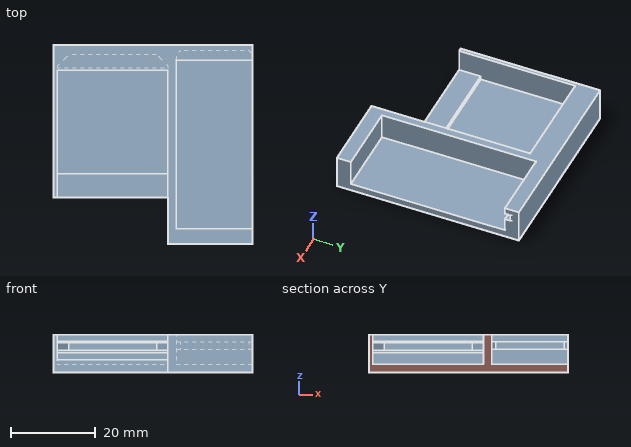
import cadquery as cq

length = 47.0
height = 9.0
step_depth = 11.0

side_wall = 1.0
middle_wall = 2.0
left_back_wall = 6.0
right_end_wall = 3.6
floor_thickness = 2.0
lip_depth = 5.6
lip_height = 3.0

left_bay_width = 26.0
left_bay_end = side_wall + left_bay_width
right_bay_start = left_bay_end + middle_wall
right_bay_width = length - right_bay_start
left_bay_back = length - left_back_wall
right_bay_back = length - right_end_wall

left_ledge_height = 5.2
left_slot_roof = 7.0
right_slot_roof = 7.25
right_ledge_height = 5.5
mouth_bottom = 4.7
mouth_top = 7.4
mouth_depth = 0.55
left_straight_depth = 1.15
right_straight_depth = 1.4
left_slot_taper = 2.65
right_slot_taper = 0.95


def block(x_start, y_start, z_start, x_end, y_end, z_end):
    """Axis-aligned block between two opposite corners."""
    size = (x_end - x_start, y_end - y_start, z_end - z_start)
    return cq.Workplane("XY").box(*size, centered=False).translate((x_start, y_start, z_start))


def mouth(x_start, width, wall_face):
    """Slot entrance that narrows in height towards the back."""
    profile = [
        (wall_face, mouth_bottom),
        (wall_face + mouth_depth, left_ledge_height),
        (wall_face + mouth_depth, left_slot_roof),
        (wall_face, mouth_top),
    ]
    return cq.Workplane("YZ", origin=(x_start, 0, 0)).polyline(profile).close().extrude(width)


def tapered_slot(x_start, width, wall_face, straight_depth, taper, ledge, roof):
    """Slot into a wall: straight at first, then both ends slant inwards at 45 degrees."""
    taper_start = wall_face + straight_depth
    back = taper_start + taper
    x_end = x_start + width
    outline = [
        (x_start, wall_face),
        (x_end, wall_face),
        (x_end, taper_start),
        (x_end - taper, back),
        (x_start + taper, back),
        (x_start, taper_start),
    ]
    plane = cq.Workplane("XY", origin=(0, 0, ledge))
    return plane.polyline(outline).close().extrude(roof - ledge)


result = block(0, step_depth, 0, length, length, height)
result = result.union(block(left_bay_end, 0, 0, length, step_depth, height))

result = result.cut(block(side_wall, step_depth, lip_height, left_bay_end, left_bay_back, height))
lip_back = step_depth + lip_depth
result = result.cut(block(side_wall, lip_back, floor_thickness, left_bay_end, left_bay_back, height))

result = result.cut(
    block(right_bay_start, right_end_wall, floor_thickness, length, right_bay_back, height)
)

result = result.cut(mouth(side_wall, left_bay_width, left_bay_back))
result = result.cut(
    tapered_slot(
        side_wall,
        left_bay_width,
        left_bay_back,
        left_straight_depth,
        left_slot_taper,
        left_ledge_height,
        left_slot_roof,
    )
)
result = result.cut(
    tapered_slot(
        right_bay_start,
        right_bay_width,
        right_bay_back,
        right_straight_depth,
        right_slot_taper,
        right_ledge_height,
        right_slot_roof,
    )
)